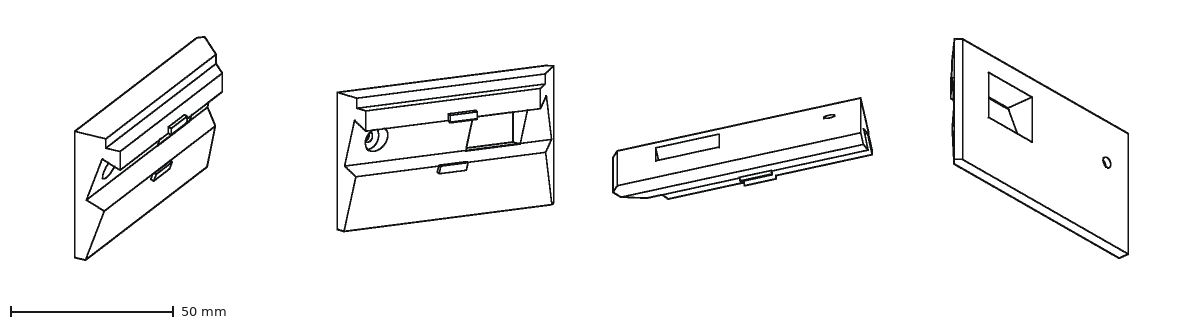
import math

import cadquery as cq

HEIGHT = 43.0
LENGTH = 78.42
THICKNESS = 16.0

STEP_X = 11.0
STEP_DROP = 3.15

LEAN = math.radians(20.0)
BOTTOM_WIDTH = 3.8
NOTCH_X = 4.15
NOTCH_Z = 20.58
NOTCH_SPAN = 16.2

BACK_BEVEL = 1.77

OPENING_Z = 28.36
WINDOW_HEIGHT = 16.0
WINDOW_WIDTH = 20.0
WINDOW_Y = 54.55
HOLE_DIAMETER = 3.5
HOLE_Y = 9.9
COUNTERBORE_DIAMETER = 8.0
HOLE_FLOOR = 2.0

TAB_Y = 35.4
TAB_WIDTH = 10.0
TAB_HEIGHT = 2.1
UPPER_TAB_THICKNESS = 1.0
UPPER_LIP = 0.3
LOWER_TAB_THICKNESS = 1.1
LOWER_LIP = 0.6
LOWER_LIP_SETBACK = 0.4


def along_ledge(point, distance):
    """Move outward from a point, parallel to the notch ledges."""
    return (point[0] + distance * math.cos(LEAN), point[1] - distance * math.sin(LEAN))


def up_wall(point, distance):
    """Move upward from a point, parallel to the leaning notch wall."""
    return (point[0] + distance * math.sin(LEAN), point[1] + distance * math.cos(LEAN))


NOTCH_LOW = (NOTCH_X, NOTCH_Z)
NOTCH_HIGH = up_wall(NOTCH_LOW, NOTCH_SPAN)
UPPER_TIP = along_ledge(NOTCH_HIGH, (THICKNESS - NOTCH_HIGH[0]) / math.cos(LEAN))
LOWER_LEDGE = NOTCH_Z * math.sin(LEAN) + (BOTTOM_WIDTH - NOTCH_X) * math.cos(LEAN)
LOWER_TIP = along_ledge(NOTCH_LOW, LOWER_LEDGE)


def prism_along_y(outline, y_start, y_end):
    """Extrude an XZ outline between two Y positions."""
    plane = cq.Workplane("XZ", origin=(0, y_start, 0))
    return plane.polyline(outline).close().extrude(y_start - y_end)


def body():
    outline = [
        (0, 0),
        (BOTTOM_WIDTH, 0),
        LOWER_TIP,
        NOTCH_LOW,
        NOTCH_HIGH,
        UPPER_TIP,
        (THICKNESS, HEIGHT - STEP_DROP),
        (STEP_X, HEIGHT - STEP_DROP),
        (STEP_X, HEIGHT),
        (0, HEIGHT),
    ]
    plan = [
        (0, 0),
        (THICKNESS, 0),
        (THICKNESS, LENGTH - (THICKNESS - BACK_BEVEL)),
        (BACK_BEVEL, LENGTH),
        (0, LENGTH - BACK_BEVEL),
    ]
    mitred_block = cq.Workplane("XY").polyline(plan).close().extrude(HEIGHT)
    return prism_along_y(outline, 0, LENGTH).intersect(mitred_block)


def window():
    """Opening from the flat X = 0 face that ends on the plane of the notch wall."""
    low = OPENING_Z - WINDOW_HEIGHT / 2
    high = OPENING_Z + WINDOW_HEIGHT / 2
    outline = [
        (0, low),
        (NOTCH_X + (low - NOTCH_Z) * math.tan(LEAN), low),
        (NOTCH_X + (high - NOTCH_Z) * math.tan(LEAN), high),
        (0, high),
    ]
    return prism_along_y(outline, WINDOW_Y - WINDOW_WIDTH / 2, WINDOW_Y + WINDOW_WIDTH / 2)


def mounting_hole():
    """Through hole, counterbored from the notch side."""
    plane = cq.Workplane("YZ").center(HOLE_Y, OPENING_Z)
    hole = plane.circle(HOLE_DIAMETER / 2).extrude(THICKNESS)
    counterbore = plane.workplane(offset=HOLE_FLOOR).circle(COUNTERBORE_DIAMETER / 2)
    return hole.union(counterbore.extrude(THICKNESS - HOLE_FLOOR))


def tab(outline):
    return prism_along_y(outline, TAB_Y - TAB_WIDTH / 2, TAB_Y + TAB_WIDTH / 2)


def upper_tab():
    """Tab on the vertical +X face whose lip reaches down over the notch."""
    root_top = (THICKNESS, UPPER_TIP[1] + TAB_HEIGHT)
    outer_low = along_ledge(UPPER_TIP, UPPER_TAB_THICKNESS)
    return tab([
        UPPER_TIP,
        root_top,
        along_ledge(root_top, UPPER_TAB_THICKNESS),
        outer_low,
        up_wall(outer_low, -UPPER_LIP),
    ])


def lower_tab():
    """Tab on the lower leaning face whose lip reaches up over the notch."""
    root_low = up_wall(LOWER_TIP, -TAB_HEIGHT)
    outer_low = along_ledge(root_low, LOWER_TAB_THICKNESS)
    outer_high = along_ledge(LOWER_TIP, LOWER_TAB_THICKNESS)
    return tab([
        LOWER_TIP,
        root_low,
        outer_low,
        up_wall(outer_high, LOWER_LIP),
        up_wall(along_ledge(LOWER_TIP, LOWER_LIP_SETBACK), LOWER_LIP),
    ])


result = body().cut(window()).cut(mounting_hole()).union(upper_tab()).union(lower_tab())